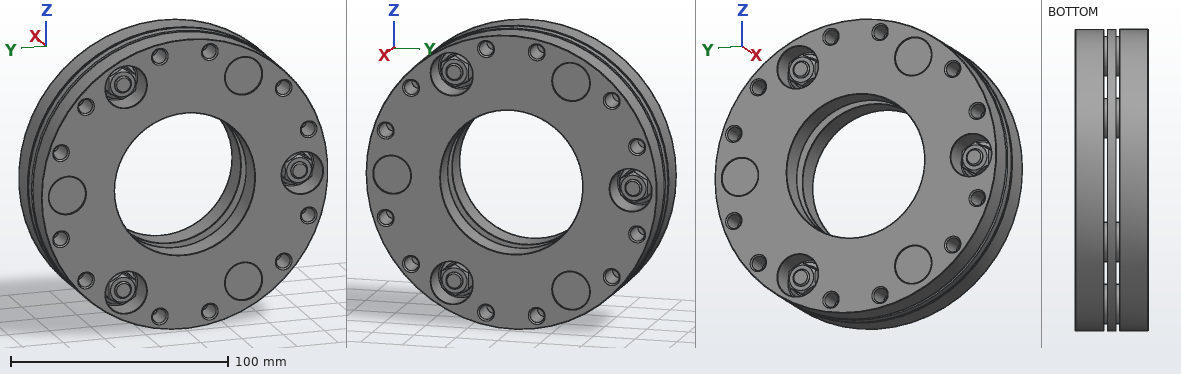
import cadquery as cq
import math

OUTER_DIAMETER = 139.0
TOTAL_LENGTH = 33.6
BORE_DIAMETER = 68.0

PLATE_THICKNESS = 13.2
PLATE_EDGE_CHAMFER = 0.3
DISC_THICKNESS = 4.0
DISC_BORE_DIAMETER = 85.0
GAP = (TOTAL_LENGTH - DISC_THICKNESS) / 2 - PLATE_THICKNESS

BOLT_CIRCLE_RADIUS = 57.0
BOLTS_PER_PLATE = 3
BOLT_STEP = 360 / BOLTS_PER_PLATE
SPACER_DIAMETER = 18.3

HEAD_DIAMETER = 17.8
HEAD_SEAT_DIAMETER = 18.0
HEAD_SEAT_CHAMFER = 0.3
HEAD_GROOVE_DEPTH = 0.4

POCKET_DIAMETER = 20.0
POCKET_CHAMFER = 0.3

WASHER_TOP_DIAMETER = 14.7
WASHER_HEIGHT = 3.0
WASHER_CONE_HEIGHT = 1.1
NUT_SIDES = 6
NUT_ACROSS_FLATS = 13.0
NUT_FACE_DIAMETER = 12.0
NUT_HEIGHT = 7.0
NUT_CHAMFER_ANGLE = 30
STUD_DIAMETER = 8.0
STUD_PROTRUSION = 1.1
STUD_CHAMFER = 0.7

TAPPED_HOLE_DIAMETER = 6.7
TAPPED_HOLE_CHAMFER = 0.7
TAPPED_CIRCLE_RADIUS = 63.5
TAPPED_OFFSET_ANGLE = 19

DISC_FACE_X = -DISC_THICKNESS / 2
PLATE_INNER_X = DISC_FACE_X - GAP
PLATE_OUTER_X = -TOTAL_LENGTH / 2

HEAD_ANGLES = [i * BOLT_STEP for i in range(BOLTS_PER_PLATE)]
NUT_ANGLES = [angle + BOLT_STEP / 2 for angle in HEAD_ANGLES]
BOLT_ANGLES = HEAD_ANGLES + NUT_ANGLES
TAPPED_ANGLES = [a + side * TAPPED_OFFSET_ANGLE for a in BOLT_ANGLES for side in (-1, 1)]


def on_circle(radius, angles):
    """Points in the YZ plane; angles are measured from +Y towards +Z."""
    return [
        (radius * math.cos(math.radians(a)), radius * math.sin(math.radians(a)))
        for a in angles
    ]


def cylinders(points, diameter, x_start, x_end):
    """Cylinders along X at the given YZ points."""
    plane = cq.Workplane("YZ", origin=(x_start, 0, 0))
    return plane.pushPoints(points).circle(diameter / 2).extrude(x_end - x_start)


def turned(profile):
    """Solid of revolution about X from (x, radius) points."""
    return cq.Workplane("XY").polyline(profile).close().revolve(360, (0, 0, 0), (1, 0, 0))


def countersinks(points, diameter, chamfer):
    """Cones that chamfer hole mouths in the outer face of the plate."""
    mouth_radius = diameter / 2 + chamfer
    cone = turned([
        (PLATE_OUTER_X, 0),
        (PLATE_OUTER_X, mouth_radius),
        (PLATE_OUTER_X + mouth_radius, 0),
    ])
    cones = cq.Workplane("XY")
    for y, z in points:
        cones = cones.add(cone.translate((0, y, z)))
    return cones.combine()


def make_plate():
    """Plate on the -X side with its holes, pockets and head outlines."""
    plate = cylinders([(0, 0)], OUTER_DIAMETER, PLATE_OUTER_X, PLATE_INNER_X)
    plate = plate.cut(cylinders([(0, 0)], BORE_DIAMETER, PLATE_OUTER_X, PLATE_INNER_X))
    plate = plate.faces("|X").edges().chamfer(PLATE_EDGE_CHAMFER)

    hole_features = (
        (on_circle(BOLT_CIRCLE_RADIUS, NUT_ANGLES), POCKET_DIAMETER, POCKET_CHAMFER),
        (on_circle(TAPPED_CIRCLE_RADIUS, TAPPED_ANGLES), TAPPED_HOLE_DIAMETER, TAPPED_HOLE_CHAMFER),
    )
    for points, diameter, chamfer in hole_features:
        plate = plate.cut(cylinders(points, diameter, PLATE_OUTER_X, PLATE_INNER_X))
        plate = plate.cut(countersinks(points, diameter, chamfer))

    head_points = on_circle(BOLT_CIRCLE_RADIUS, HEAD_ANGLES)
    groove_end_x = PLATE_OUTER_X + HEAD_GROOVE_DEPTH
    grooves = cylinders(head_points, HEAD_SEAT_DIAMETER, PLATE_OUTER_X, groove_end_x)
    grooves = grooves.union(countersinks(head_points, HEAD_SEAT_DIAMETER, HEAD_SEAT_CHAMFER))
    grooves = grooves.cut(cylinders(head_points, HEAD_DIAMETER, PLATE_OUTER_X, PLATE_INNER_X))
    return plate.cut(grooves)


def make_nut_stack():
    """Washer, hexagon nut and stud end, stacked on the disc towards -X."""
    washer_x = DISC_FACE_X - WASHER_HEIGHT
    nut_x = washer_x - NUT_HEIGHT
    stud_x = nut_x - STUD_PROTRUSION
    washer = turned([
        (DISC_FACE_X, 0),
        (DISC_FACE_X, SPACER_DIAMETER / 2),
        (washer_x + WASHER_CONE_HEIGHT, SPACER_DIAMETER / 2),
        (washer_x, WASHER_TOP_DIAMETER / 2),
        (washer_x, 0),
    ])

    half_side_angle = 180 / NUT_SIDES
    corner_diameter = NUT_ACROSS_FLATS / math.cos(math.radians(half_side_angle))
    cone_drop = (corner_diameter - NUT_FACE_DIAMETER) / 2 * math.tan(math.radians(NUT_CHAMFER_ANGLE))
    hexagon = (
        cq.Workplane("YZ", origin=(nut_x, 0, 0))
        .transformed(rotate=(0, 0, half_side_angle))
        .polygon(NUT_SIDES, corner_diameter)
        .extrude(NUT_HEIGHT)
    )
    nut = hexagon.intersect(turned([
        (nut_x, 0),
        (nut_x, NUT_FACE_DIAMETER / 2),
        (nut_x + cone_drop, corner_diameter / 2),
        (washer_x, corner_diameter / 2),
        (washer_x, 0),
    ]))

    stud = cylinders([(0, 0)], STUD_DIAMETER, stud_x, nut_x).faces("<X").chamfer(STUD_CHAMFER)
    return washer.union(nut).union(stud)


def make_half():
    """Plate, head-side spacers and nut stacks on the -X side of the disc."""
    half = make_plate()
    head_points = on_circle(BOLT_CIRCLE_RADIUS, HEAD_ANGLES)
    half = half.union(cylinders(head_points, SPACER_DIAMETER, PLATE_INNER_X, DISC_FACE_X))
    nut_stack = make_nut_stack()
    for y, z in on_circle(BOLT_CIRCLE_RADIUS, NUT_ANGLES):
        half = half.union(nut_stack.translate((0, y, z)))
    return half


disc = cylinders([(0, 0)], OUTER_DIAMETER, DISC_FACE_X, -DISC_FACE_X)
disc = disc.cut(cylinders([(0, 0)], DISC_BORE_DIAMETER, DISC_FACE_X, -DISC_FACE_X))

near_half = make_half()
far_half = near_half.rotate((0, 0, 0), (0, 0, 1), 180)
result = disc.union(near_half).union(far_half)